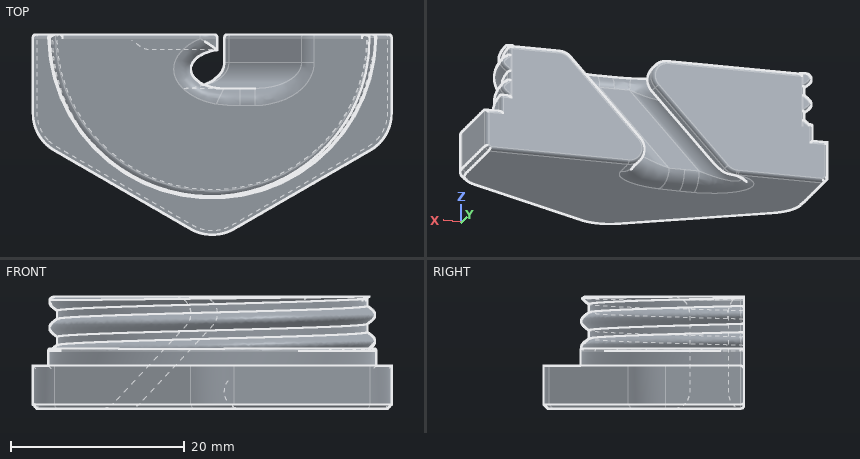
import cadquery as cq
import math

height = 13.0
flange_height = 5.0
collar_top = 6.97

across_flats = 41.5
hex_corner_radius = 5.0
flange_chamfer = 0.5

collar_radius = 18.95
collar_rounding = 0.3
root_radius = 17.95
crest_radius = 18.85
core_rounding = 0.5
crest_end_rounding = 0.8
pitch = 3.05
ridge_count = 3
lowest_crest = 6.3
ridge_half_width = 1.5
ridge_end_rounding = 0.37
ridge_embed = 0.65
ridge_clearance = 0.1

slot_tilt = math.radians(43)
slot_center_x = -0.55
slot_half_width = 3.95
slot_depth = 6.25
slot_corner_radius = 3.0
hook_radius = 2.25
lip_radius = 2.0

split_rounding = 0.4
slot_overrun = 8.3


def hexagonal_flange():
    across_corners = across_flats / math.cos(math.pi / 6)
    flange = (
        cq.Workplane("XY")
        .polygon(6, across_corners)
        .extrude(flange_height)
        .rotate((0, 0, 0), (0, 0, 1), 30)
        .edges("|Z")
        .fillet(hex_corner_radius)
    )
    return flange.faces("<Z").edges().chamfer(flange_chamfer)


def rounded_disc(radius, top, rounding):
    return cq.Workplane("XY").circle(radius).extrude(top).faces(">Z").edges().fillet(rounding)


def thread_ridge(start):
    helix = cq.Wire.makeHelix(pitch, pitch / 2, root_radius)
    inner = root_radius - ridge_embed
    foot_slope = (1, 0.7)
    ridge = (
        cq.Workplane("XZ")
        .moveTo(inner, -ridge_half_width)
        .spline(
            [(crest_radius, 0), (inner, ridge_half_width)],
            tangents=[foot_slope, (0, 1), (-foot_slope[0], foot_slope[1])],
            includeCurrent=True,
        )
        .close()
        .sweep(cq.Workplane(helix), isFrenet=True)
        .rotate((0, 0, 0), (0, 0, 1), 180)
        .translate((0, 0, start))
        .faces(">Y")
        .edges()
        .fillet(ridge_end_rounding)
    )
    return ridge.intersect(rounded_disc(crest_radius + ridge_clearance, height, crest_end_rounding))


def slot():
    axis = (math.sin(slot_tilt), 0, math.cos(slot_tilt))
    across = (math.cos(slot_tilt), 0, -math.sin(slot_tilt))
    hook_x = hook_radius - slot_half_width
    hook_y = 2 * hook_radius - slot_depth
    corner = slot_corner_radius
    profile = (
        cq.Workplane(cq.Plane((slot_center_x, 0, height / 2), across, axis))
        .moveTo(hook_x, slot_overrun)
        .lineTo(hook_x, hook_y)
        .threePointArc((-slot_half_width, hook_y - hook_radius), (hook_x, -slot_depth))
        .lineTo(slot_half_width - corner, -slot_depth)
        .radiusArc((slot_half_width, corner - slot_depth), -corner)
        .lineTo(slot_half_width, slot_overrun)
        .close()
    )
    return profile.extrude(height, both=True)


def round_slot_lips(body):
    reach = root_radius - 1.25
    inner_edges = cq.selectors.BoxSelector(
        (-reach, -reach, -0.4), (reach, reach, height + 0.4), boundingbox=True
    )
    for face in (">Z", "<Z"):
        body = body.faces(face).edges(inner_edges).fillet(lip_radius)
    return body


def keep_front_half(body):
    size = 2 * across_flats
    half_space = cq.Workplane("XY").box(size, size, size, centered=(True, False, True))
    return body.cut(half_space)


body = (
    hexagonal_flange()
    .union(rounded_disc(collar_radius, collar_top, collar_rounding))
    .union(rounded_disc(root_radius, height, core_rounding))
)
body = round_slot_lips(body.cut(slot()))
body = keep_front_half(body).faces(">Y").edges().fillet(split_rounding)
for turn in range(ridge_count):
    body = body.union(thread_ridge(lowest_crest + turn * pitch))
result = body